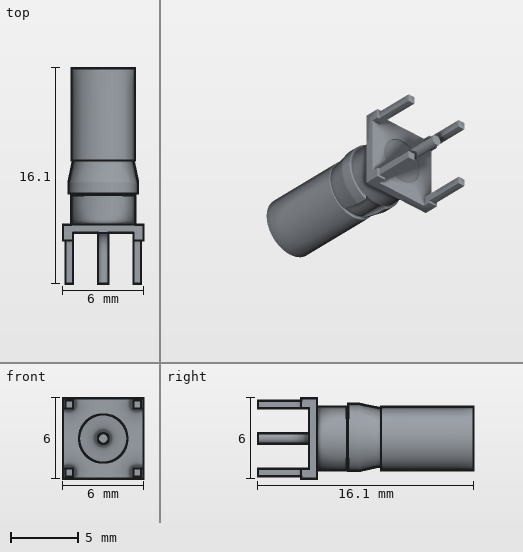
import cadquery as cq

total_length = 16.05
foot_front = 3.21
plate_front = 3.79
plate_back = 4.41
neck_end = 6.61
collar_start = 6.71
taper_start = 7.53
sleeve_start = 9.16

flange_width = 6.0
foot_width = 0.75
pin_width = 0.58
recess_diameter = 3.6
recess_depth = 0.08
contact_diameter = 0.8

neck_diameter = 4.8
sleeve_diameter = 4.75
core_diameter = 3.0

collar_diameter = 5.2
collar_small_diameter = 4.53
split_width = 1.93
split_floor_diameter = 4.24


def cylinder(diameter, start, end):
    """Round bar on the Y axis between two stations."""
    return cq.Workplane("XZ", origin=(0, start, 0)).circle(diameter / 2).extrude(start - end)


def square_bar(width, start, end, x=0, z=0):
    """Square bar parallel to Y, centred at (x, z)."""
    length = end - start
    return cq.Workplane("XY").box(width, length, width).translate((x, start + length / 2, z))


def split_collar():
    """Collar with a straight band and a taper towards the sleeve, slotted at -Z."""
    collar = (
        cq.Workplane("XY")
        .moveTo(0, collar_start)
        .lineTo(collar_diameter / 2, collar_start)
        .lineTo(collar_diameter / 2, taper_start)
        .lineTo(collar_small_diameter / 2, sleeve_start)
        .lineTo(0, sleeve_start)
        .close()
        .revolve(360, (0, 0, 0), (0, 1, 0))
    )
    length = sleeve_start - collar_start
    slot = cq.Workplane("XY").box(split_width, length, collar_diameter / 2)
    slot = slot.translate((0, collar_start + length / 2, -collar_diameter / 4))
    slot = slot.cut(cylinder(split_floor_diameter, collar_start, sleeve_start))
    return collar.cut(slot)


result = square_bar(flange_width, plate_front, plate_back)
result = result.cut(cylinder(recess_diameter, plate_front, plate_front + recess_depth))

foot_offset = (flange_width - foot_width) / 2
pin_offset = flange_width / 2 - foot_width + pin_width / 2
for x_side in (-1, 1):
    for z_side in (-1, 1):
        foot = square_bar(foot_width, foot_front, plate_front, x_side * foot_offset, z_side * foot_offset)
        pin = square_bar(pin_width, 0, foot_front, x_side * pin_offset, z_side * pin_offset)
        result = result.union(foot).union(pin)

result = result.union(cylinder(contact_diameter, 0, plate_back))
result = result.union(cylinder(neck_diameter, plate_back, neck_end))
result = result.union(cylinder(core_diameter, neck_end, collar_start))
result = result.union(split_collar())
result = result.union(cylinder(sleeve_diameter, sleeve_start, total_length))